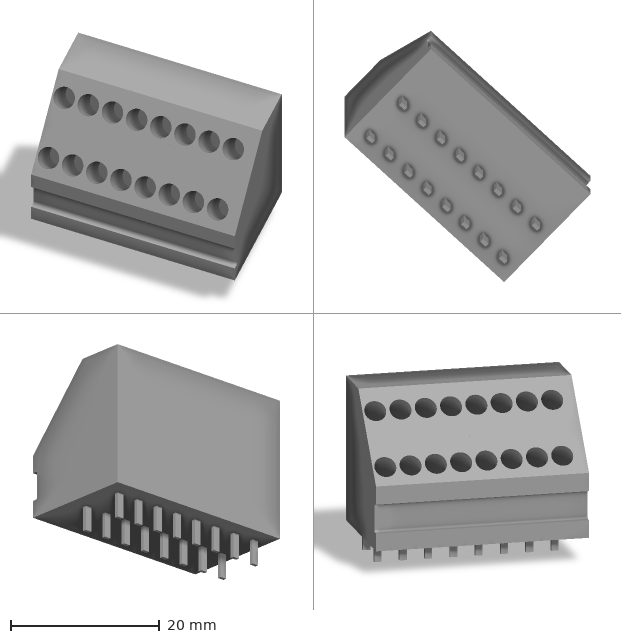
import cadquery as cq
import math

ROW_LENGTH = 29.5
DEPTH = 16.9
OVERALL_HEIGHT = 23.6
PIN_LENGTH = 3.5
HOUSING_HEIGHT = OVERALL_HEIGHT - PIN_LENGTH

POLE_COUNT = 8
END_PLATE_WIDTH = 1.5
POLE_PITCH = (ROW_LENGTH - END_PLATE_WIDTH) / POLE_COUNT

TOP_DEPTH = 7.02
FRONT_WALL_HEIGHT = 9.03
SLOPE_RUN = DEPTH - TOP_DEPTH
SLOPE_RISE = HOUSING_HEIGHT - FRONT_WALL_HEIGHT
SLOPE_LENGTH = math.hypot(SLOPE_RUN, SLOPE_RISE)

GROOVE_BOTTOM = 2.45
GROOVE_TOP = 6.5
GROOVE_DEPTH = 0.83
GROOVE_CORNER_RADIUS = 0.35

OPENING_DIAMETER = 3.0
OPENING_DEPTH = 5.9
OPENING_SPACING = 8.47
UPPER_OPENING_FROM_TOP = 3.55
OPENING_DISTANCES = [UPPER_OPENING_FROM_TOP, UPPER_OPENING_FROM_TOP + OPENING_SPACING]

PIN_WIDTH = 1.0
PIN_THICKNESS = 0.53
PIN_OFFSET = 2.1
REAR_PIN_FROM_BACK = 2.9
PIN_SPACING = 6.37
PIN_DEPTHS = [DEPTH - REAR_PIN_FROM_BACK, DEPTH - REAR_PIN_FROM_BACK - PIN_SPACING]


def make_groove(left, width):
    """Cutter for the front groove, with its inner corners rounded."""
    groove = cq.Workplane("XY").box(
        width, GROOVE_DEPTH, GROOVE_TOP - GROOVE_BOTTOM, centered=False
    )
    return groove.edges("|X and >Y").fillet(GROOVE_CORNER_RADIUS).translate((left, 0, GROOVE_BOTTOM))


def make_slice(left, width):
    """Plain grooved slice of the housing, starting at X = left."""
    outline = [
        (0, 0),
        (DEPTH, 0),
        (DEPTH, HOUSING_HEIGHT),
        (SLOPE_RUN, HOUSING_HEIGHT),
        (0, FRONT_WALL_HEIGHT),
    ]
    body = cq.Workplane("YZ", origin=(left, 0, 0)).polyline(outline).close().extrude(width)
    return body.cut(make_groove(left, width))


def make_opening(center_x, distance):
    """Cutter for a blind round opening at a distance down the slope from its top edge."""
    travel = distance / SLOPE_LENGTH
    center = (center_x, SLOPE_RUN * (1 - travel), HOUSING_HEIGHT - SLOPE_RISE * travel)
    outward = (0, -SLOPE_RISE, SLOPE_RUN)
    face = cq.Plane(origin=center, xDir=(1, 0, 0), normal=outward)
    return cq.Workplane(face).circle(OPENING_DIAMETER / 2).extrude(-OPENING_DEPTH)


def make_pin(center_x, center_y):
    """Flat pin hanging from the underside of the housing."""
    return (
        cq.Workplane("XY")
        .center(center_x, center_y)
        .rect(PIN_WIDTH, PIN_THICKNESS)
        .extrude(-PIN_LENGTH)
    )


def make_pole(left):
    """One pole module: housing slice with two openings and two pins."""
    pole = make_slice(left, POLE_PITCH)
    for distance in OPENING_DISTANCES:
        pole = pole.cut(make_opening(left + POLE_PITCH / 2, distance))
    for pin_y in PIN_DEPTHS:
        pole = pole.union(make_pin(left + PIN_OFFSET, pin_y))
    return pole


poles = [make_pole(index * POLE_PITCH) for index in range(POLE_COUNT)]
end_plate = make_slice(POLE_COUNT * POLE_PITCH, END_PLATE_WIDTH)

result = cq.Compound.makeCompound([*[pole.val() for pole in poles], end_plate.val()])